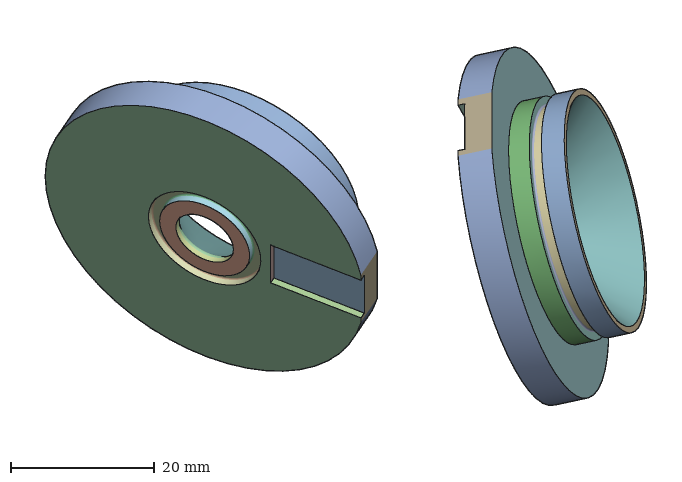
import cadquery as cq

flange_radius = 25.0
flange_thickness = 5.0
flat_offset = 24.5

total_depth = 13.2
boss_radius = 34.8 / 2
groove_floor_radius = 32.0 / 2
groove_start = 8.05
groove_width = 1.8
groove_corner_radius = 0.25

bore_radius = 9.0 / 2
ring_outer_radius = 17.6 / 2
ring_inner_radius = 14.1 / 2
ring_depth = 1.2
ring_corner_radius = 0.2

mouth_radius = 16.5
bore_length = 1.2
throat_radius = 0.9

slot_start = 10.35
slot_width = 8.0
slot_depth = 1.0


def disc(radius, start, length):
    """Cylinder about the Y axis, from Y = start towards +Y."""
    direction = cq.Vector(0, 1, 0)
    return cq.Workplane(cq.Solid.makeCylinder(radius, length, cq.Vector(0, start, 0), direction))


def ring(outer_radius, inner_radius, start, length):
    return disc(outer_radius, start, length).cut(disc(inner_radius, start, length))


def box_from(x_start, x_end, y_length, z_length):
    """Box starting at Y = 0 and centred on Z = 0."""
    return (
        cq.Workplane("XY")
        .box(x_end - x_start, y_length, z_length, centered=(False, False, True))
        .translate((x_start, 0, 0))
    )


flange = disc(flange_radius, 0, flange_thickness)
beyond_flat = box_from(flat_offset, flange_radius, flange_thickness, 2 * flange_radius)
flange = flange.cut(beyond_flat)

boss = disc(boss_radius, flange_thickness, total_depth - flange_thickness)

seal_groove = ring(boss_radius, groove_floor_radius, groove_start, groove_width)
seal_groove = seal_groove.edges(cq.selectors.RadiusNthSelector(0)).fillet(groove_corner_radius)

ring_recess = ring(ring_outer_radius, ring_inner_radius, 0, ring_depth)
ring_recess = ring_recess.faces(">Y").edges().fillet(ring_corner_radius)

slot = box_from(slot_start, flange_radius, slot_depth, slot_width)
bore = disc(bore_radius, 0, bore_length)
mouth = cq.Workplane(
    cq.Solid.makeCone(
        bore_radius,
        mouth_radius,
        total_depth - bore_length,
        cq.Vector(0, bore_length, 0),
        cq.Vector(0, 1, 0),
    )
)
throat_position = (0, bore_length, 0)
opening = bore.union(mouth)
opening = opening.edges(cq.selectors.NearestToPointSelector(throat_position)).fillet(throat_radius)

result = flange.union(boss).cut(seal_groove).cut(ring_recess).cut(slot).cut(opening)